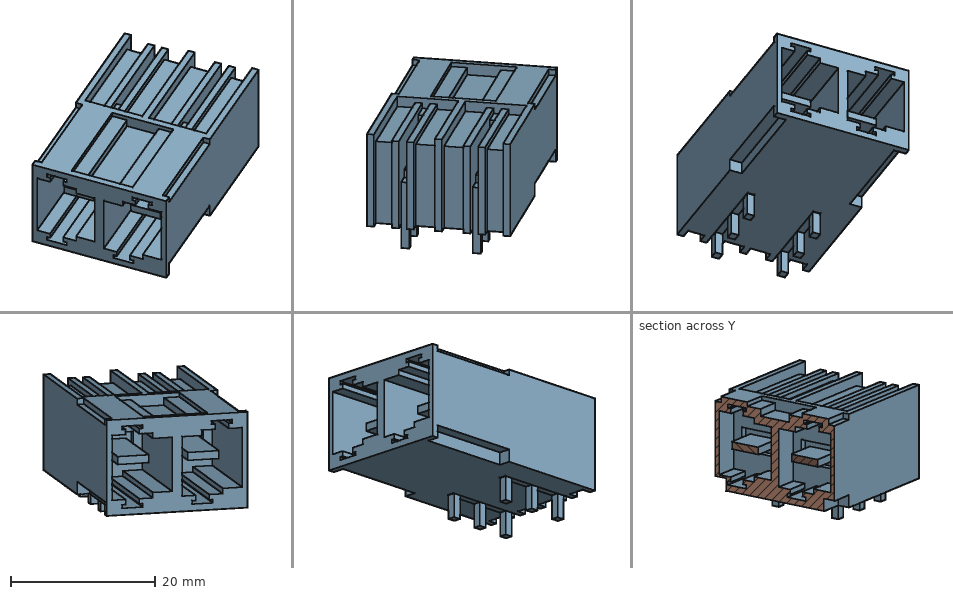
import cadquery as cq


LENGTH = 32.0
WIDTH = 20.32
HEIGHT = 13.6
HALF_WIDTH = WIDTH / 2
MID_HEIGHT = HEIGHT / 2
WALL = 1.0

FRONT_END = 15.07
TOP_RELIEF_DEPTH = 0.83
BOTTOM_RELIEF_SIZE = 1.82

POCKET_WIDTH = 9.25
POCKET_DEPTH = 0.6
INNER_POCKET_WIDTH = 4.8
INNER_POCKET_DEPTH = 1.65

PORT_OUTER_X = 9.4
PORT_INNER_X = 0.7
PORT_HALF_HEIGHT = 3.85
STEP_HEIGHT = 0.77
STEP_OFFSET = 5.9
KEY_NECK_OFFSET = 1.95
KEY_NECK_WIDTH = 2.0
KEY_HEAD_WIDTH = 3.0
KEY_HEAD_HEIGHT = 0.48
KEY_HEIGHT = 1.2

REAR_START = FRONT_END + WALL
CHANNEL_DEPTH = 1.5
CHANNEL_OVERHANG = 1.45
RIB_DROP = 0.75
BAY_WIDTH = (WIDTH - 3 * WALL) / 2
BAY_CENTER_X = (BAY_WIDTH + WALL) / 2

CONTACT_PITCH = 10.15
CONTACT_CENTERS = (-CONTACT_PITCH / 2, CONTACT_PITCH / 2)
CONTACT_THICKNESS = 1.12
PLATE_FRONT = 18.85
PLATE_REAR = 30.35
PLATE_STEP_Y = 28.35
BLADE_FRONT = 4.48
BLADE_WIDTH = 4.48
BLADE_RECESS_WIDTH = 6.0
BLADE_RECESS_HEIGHT = 3.33
BLADE_RECESS_DEPTH = WALL
LEG_COUNT = 3
LEG_PITCH = 5.1
LEG_DEPTH = 1.2
LEG_LENGTH = 3.5


def block(x_range, y_range, z_range):
    """Axis-aligned box between pairs of coordinates."""
    size = [high - low for low, high in (x_range, y_range, z_range)]
    corner = (x_range[0], y_range[0], z_range[0])
    return cq.Workplane("XY").box(*size, centered=False).translate(corner)


def centered_range(center, width):
    return (center - width / 2, center + width / 2)


def half_port(key_side_x, far_side_x, side):
    """Upper (side = 1) or lower (side = -1) half of a port, keyed from key_side_x."""
    toward_far = 1 if far_side_x > key_side_x else -1
    port_edge = PORT_HALF_HEIGHT + STEP_HEIGHT
    key_edge = port_edge + KEY_HEIGHT
    key_x = key_side_x + toward_far * (KEY_NECK_OFFSET + KEY_NECK_WIDTH / 2)
    step_x = key_side_x + toward_far * STEP_OFFSET

    def layer(x_range, inner, outer):
        z_range = sorted((MID_HEIGHT + side * inner, MID_HEIGHT + side * outer))
        return block(sorted(x_range), (0, FRONT_END), z_range)

    chamber = layer((key_side_x, far_side_x), 0, PORT_HALF_HEIGHT)
    step = layer((key_side_x, step_x), 0, port_edge)
    key_neck = layer(centered_range(key_x, KEY_NECK_WIDTH), 0, key_edge)
    key_head = layer(centered_range(key_x, KEY_HEAD_WIDTH), key_edge - KEY_HEAD_HEIGHT, key_edge)
    return chamber.union(step).union(key_neck).union(key_head)


def cut_ports(body):
    """Both ports key their lower half from the left; the right port keys its upper half from the right."""
    body = body.cut(half_port(-PORT_OUTER_X, -PORT_INNER_X, 1))
    body = body.cut(half_port(-PORT_OUTER_X, -PORT_INNER_X, -1))
    body = body.cut(half_port(PORT_OUTER_X, PORT_INNER_X, 1))
    return body.cut(half_port(PORT_INNER_X, PORT_OUTER_X, -1))


def cut_edge_reliefs(body):
    """Notches along the four long edges of the front section."""
    y_range = (WALL, FRONT_END)
    for side in (-1, 1):
        top_x = sorted((side * (HALF_WIDTH - WALL), side * HALF_WIDTH))
        bottom_x = sorted((side * (HALF_WIDTH - BOTTOM_RELIEF_SIZE), side * HALF_WIDTH))
        body = body.cut(block(top_x, y_range, (HEIGHT - TOP_RELIEF_DEPTH, HEIGHT)))
        body = body.cut(block(bottom_x, y_range, (0, BOTTOM_RELIEF_SIZE)))
    return body


def cut_top_pocket(body):
    for width, depth in ((POCKET_WIDTH, POCKET_DEPTH), (INNER_POCKET_WIDTH, INNER_POCKET_DEPTH)):
        pocket = block(centered_range(0, width), (WALL, FRONT_END), (HEIGHT - depth, HEIGHT))
        body = body.cut(pocket)
    return body


def cut_rear_channels(body):
    """Two open bays, each with a pair of lower ribs beside the contact slot."""
    rib_offset = (CONTACT_THICKNESS + WALL) / 2
    for side, contact_x in zip((-1, 1), CONTACT_CENTERS):
        bay_x = centered_range(side * BAY_CENTER_X, BAY_WIDTH)
        bay = block(bay_x, (REAR_START, LENGTH), (HEIGHT - CHANNEL_DEPTH, HEIGHT))
        bay = bay.union(block(bay_x, (LENGTH - CHANNEL_OVERHANG, LENGTH), (0, HEIGHT)))
        for rib_x in (contact_x - rib_offset, contact_x + rib_offset):
            rib = block(centered_range(rib_x, WALL), (REAR_START, LENGTH), (0, HEIGHT - RIB_DROP))
            bay = bay.cut(rib)
        body = body.cut(bay)
    return body


def cut_contact_openings(body):
    """Rear slots for the plates, holes for the blades and a shallow recess around each blade in its port."""
    blade_z = centered_range(MID_HEIGHT, CONTACT_THICKNESS)
    recess_z = centered_range(MID_HEIGHT, BLADE_RECESS_HEIGHT)
    for contact_x in CONTACT_CENTERS:
        recess_x = centered_range(contact_x, BLADE_RECESS_WIDTH)
        slot = block(centered_range(contact_x, CONTACT_THICKNESS), (PLATE_FRONT, LENGTH), (0, HEIGHT))
        hole = block(centered_range(contact_x, BLADE_WIDTH), (FRONT_END, PLATE_FRONT), blade_z)
        recess = block(recess_x, (FRONT_END, FRONT_END + BLADE_RECESS_DEPTH), recess_z)
        body = body.cut(slot).cut(hole).cut(recess)
    return body


def make_housing():
    body = block((-HALF_WIDTH, HALF_WIDTH), (0, LENGTH), (0, HEIGHT))
    body = cut_ports(body)
    body = cut_edge_reliefs(body)
    body = cut_top_pocket(body)
    body = cut_rear_channels(body)
    return cut_contact_openings(body)


def make_contact(contact_x):
    """A flat blade joined to an upright plate with a row of solder legs."""
    plate_x = centered_range(contact_x, CONTACT_THICKNESS)
    blade_z = centered_range(MID_HEIGHT, CONTACT_THICKNESS)
    blade = block(centered_range(contact_x, BLADE_WIDTH), (BLADE_FRONT, PLATE_FRONT), blade_z)
    plate = block(plate_x, (PLATE_FRONT, PLATE_STEP_Y), (0, blade_z[1]))
    plate_heel = block(plate_x, (PLATE_STEP_Y, PLATE_REAR), (0, blade_z[0]))
    contact = blade.union(plate).union(plate_heel)
    for index in range(LEG_COUNT):
        leg_rear = PLATE_REAR - index * LEG_PITCH
        contact = contact.union(block(plate_x, (leg_rear - LEG_DEPTH, leg_rear), (-LEG_LENGTH, 0)))
    return contact


housing = make_housing()
contacts = [make_contact(contact_x) for contact_x in CONTACT_CENTERS]

result = cq.Compound.makeCompound([housing.val(), *[contact.val() for contact in contacts]])